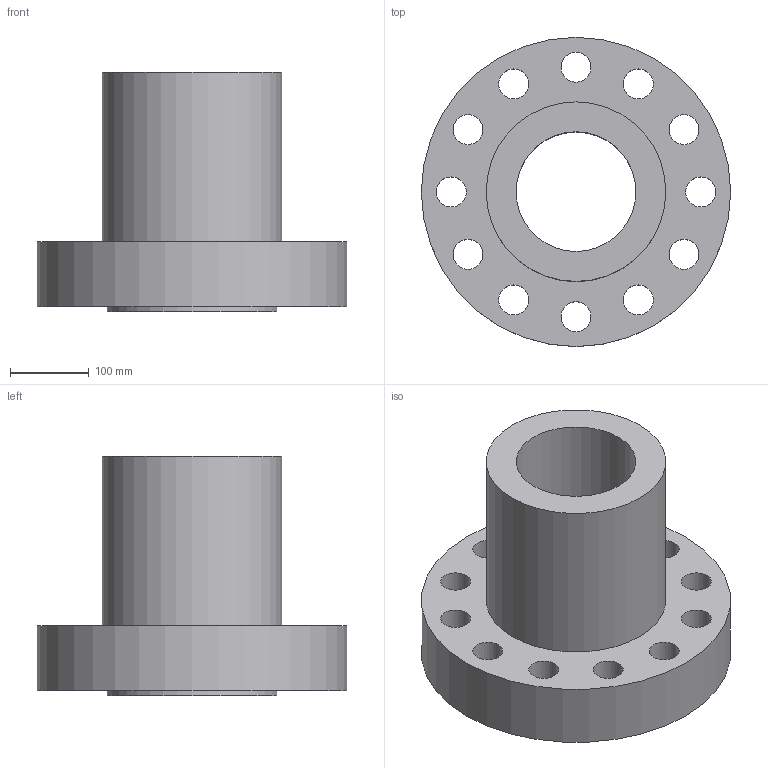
import cadquery as cq

total_height = 304.8
flange_diameter = 393.7
flange_thickness = 82.55
neck_diameter = 228.6
bore_diameter = 152.4

face_diameter = 215.9
face_height = 6.35

bolt_count = 12
bolt_circle_diameter = 317.5
bolt_hole_diameter = 38.1

flange_top = face_height + flange_thickness
neck_height = total_height - flange_top


def disc(diameter, bottom, height):
    """Solid cylinder about the Z axis, standing on the given level."""
    return cq.Workplane("XY").workplane(offset=bottom).circle(diameter / 2).extrude(height)


def bolt_holes():
    """Through-flange cutters, evenly spaced with the first one on +X."""
    return (
        cq.Workplane("XY")
        .workplane(offset=face_height)
        .polarArray(bolt_circle_diameter / 2, 0, 360, bolt_count)
        .circle(bolt_hole_diameter / 2)
        .extrude(flange_thickness)
    )


raised_face = disc(face_diameter, 0, face_height)
flange = disc(flange_diameter, face_height, flange_thickness)
neck = disc(neck_diameter, flange_top, neck_height)
bore = disc(bore_diameter, 0, total_height)

result = raised_face.union(flange).union(neck).cut(bore).cut(bolt_holes())